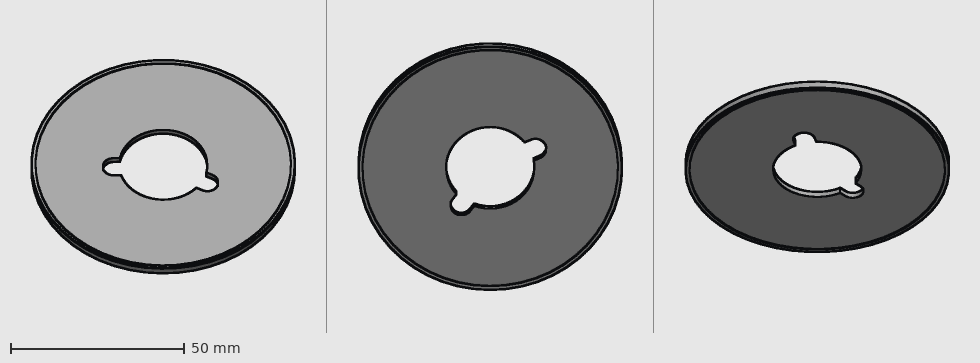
import cadquery as cq

outer_diameter = 76.2
total_height = 2.5
tyre_inner_diameter = 73.8
tyre_face_drop = 0.115
tyre_chamfer = 0.15

disc_diameter = 75.0
disc_thickness = 1.9
flat_diameter = 72.9
taper_drop = 0.15

bore_diameter = 25.45
keyway_width = 6.25
keyway_center_radius = 14.3
keyway_angles = (0.0, 210.0)

disc_bottom = (total_height - disc_thickness) / 2
disc_top = disc_bottom + disc_thickness


def make_blank():
    """Disc without its opening, tapered towards the edge on both faces."""
    flat_radius = flat_diameter / 2
    edge_radius = disc_diameter / 2
    return (
        cq.Workplane("XZ")
        .moveTo(0, disc_bottom)
        .lineTo(flat_radius, disc_bottom)
        .lineTo(edge_radius, disc_bottom + taper_drop)
        .lineTo(edge_radius, disc_top - taper_drop)
        .lineTo(flat_radius, disc_top)
        .lineTo(0, disc_top)
        .close()
        .revolve(360, (0, 0), (0, 1))
    )


def make_tyre():
    """Outer ring with a groove that fits the edge of the disc."""
    outer_radius = outer_diameter / 2
    inner_radius = tyre_inner_diameter / 2
    face_radius = outer_radius - tyre_chamfer
    ring = (
        cq.Workplane("XZ")
        .moveTo(outer_radius, tyre_chamfer)
        .lineTo(outer_radius, total_height - tyre_chamfer)
        .lineTo(face_radius, total_height)
        .lineTo(inner_radius, total_height - tyre_face_drop)
        .lineTo(inner_radius, tyre_face_drop)
        .lineTo(face_radius, 0)
        .close()
        .revolve(360, (0, 0), (0, 1))
    )
    return ring.cut(make_blank())


def make_keyway(angle):
    """Radial slot from the axis to a rounded outer end."""
    slot = (
        cq.Workplane("XY")
        .workplane(offset=disc_bottom)
        .center(keyway_center_radius / 2, 0)
        .slot2D(keyway_center_radius + keyway_width, keyway_width)
        .extrude(disc_thickness)
    )
    return slot.rotate((0, 0, 0), (0, 0, 1), angle)


def make_disc():
    """Tapered plate with a keyed central opening."""
    bore = (
        cq.Workplane("XY")
        .workplane(offset=disc_bottom)
        .circle(bore_diameter / 2)
        .extrude(disc_thickness)
    )
    disc = make_blank().cut(bore)
    for angle in keyway_angles:
        disc = disc.cut(make_keyway(angle))
    return disc


tyre = make_tyre()
disc = make_disc()
result = cq.Compound.makeCompound([tyre.val(), disc.val()])